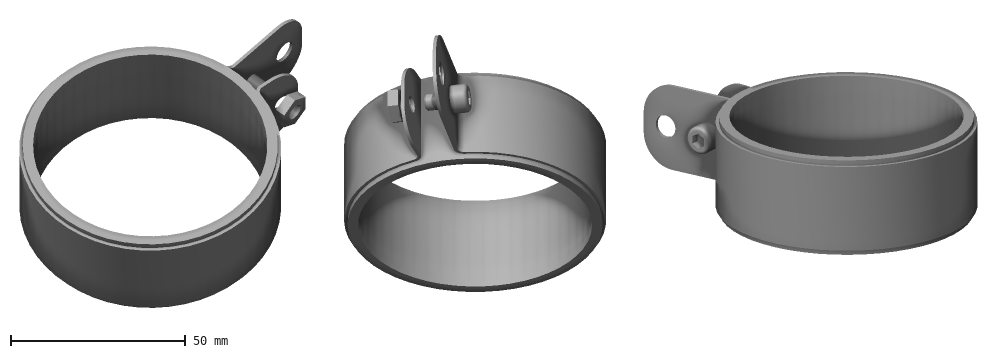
import cadquery as cq
import math

overall_depth = 104.7

liner_bore_radius = 33.5
liner_height = 28.8

strap_radius = 37.5
strap_thickness = 0.99
strap_width = 25.5
bend_radius = 2.0
bend_start_angle = 11.6
tab_tilt = 4.0
short_tab_length = 13.4
tab_corner_radius = 9.9
mount_hole_diameter = 6.7
mount_hole_setback = 7.5

screw_setback = 6.4
shank_diameter = 4.8
shank_length = 7.9
shank_chamfer = 0.5
head_diameter = 8.3
head_height = 4.9
head_fillet = 1.0
socket_across_flats = 4.0
socket_depth = 2.5

nut_across_flats = 9.2
nut_thickness = 3.1
nut_distance = 14.9

liner_radius = strap_radius - strap_thickness
tilt = math.radians(tab_tilt)
start = math.radians(bend_start_angle)
outer_bend_radius = bend_radius + strap_thickness

along_tab = cq.Vector(-math.sin(tilt), math.cos(tilt))
across_tab = cq.Vector(math.cos(tilt), math.sin(tilt))
ring_direction = cq.Vector(-math.sin(start), math.cos(start))
bend_centre = ring_direction * (strap_radius + bend_radius)
tab_root = bend_centre + across_tab * bend_radius

tip_corner_y = overall_depth - strap_radius
long_tab_length = (tip_corner_y - (bend_centre + across_tab * outer_bend_radius).y) / math.cos(tilt)

screw_seat = tab_root + along_tab * screw_setback
mount_hole_seat = tab_root + along_tab * (long_tab_length - mount_hole_setback)


def tab_plane(origin):
    """Plane on the outer face of the long tab: x runs along it, the normal goes through it."""
    return cq.Plane(origin=origin, xDir=along_tab, normal=across_tab)


def hexagon(offset, across_flats):
    """Hexagon outline on the screw axis, with a corner at the top, offset from the screw seat."""
    across_corners = across_flats / math.cos(math.pi / 6)
    upright_plane = cq.Plane(
        origin=screw_seat + across_tab * offset,
        xDir=(0, 0, 1),
        normal=across_tab,
    )
    return cq.Workplane(upright_plane).polygon(6, across_corners)


def ring(outer_radius, inner_radius, height):
    """Ring around Z, centred on the XY plane."""
    return (
        cq.Workplane("XY", origin=(0, 0, -height / 2))
        .circle(outer_radius)
        .circle(inner_radius)
        .extrude(height)
    )


def make_liner():
    return ring(liner_radius, liner_bore_radius, liner_height)


def make_open_ring():
    """Ring of the strap, open at +Y between the two bends."""
    gap_edge = ring_direction * (2 * strap_radius)
    gap = (
        cq.Workplane("XY")
        .polyline([(0, 0), (gap_edge.x, gap_edge.y), (-gap_edge.x, gap_edge.y)])
        .close()
        .extrude(strap_width / 2, both=True)
    )
    return ring(strap_radius, liner_radius, strap_width).cut(gap)


def bend_point(direction, radius):
    """Point at a radius from the bend centre, as (x, y)."""
    point = bend_centre + direction * radius
    return point.x, point.y


def make_bend():
    """Curved strip from the end of the ring to the root of the -X tab."""
    middle_direction = (across_tab - ring_direction).normalized()
    directions = (ring_direction * -1, middle_direction, across_tab)
    inner_start, inner_middle, inner_end = [bend_point(way, bend_radius) for way in directions]
    outer_start, outer_middle, outer_end = [bend_point(way, outer_bend_radius) for way in directions]
    return (
        cq.Workplane("XY")
        .moveTo(*inner_start)
        .threePointArc(inner_middle, inner_end)
        .lineTo(*outer_end)
        .threePointArc(outer_middle, outer_start)
        .close()
        .extrude(strap_width / 2, both=True)
    )


def make_tab(length):
    """Flat -X tab with two rounded corners at its tip."""
    plane = tab_plane(tab_root)
    tab = cq.Workplane(plane).rect(2 * length, strap_width).extrude(strap_thickness)
    tab = tab.edges(cq.selectors.ParallelDirSelector(across_tab)).fillet(tab_corner_radius)
    tip_half = cq.Workplane(plane).center(length / 2, 0).rect(length, strap_width).extrude(strap_thickness)
    return tab.intersect(tip_half)


def make_strap():
    long_end = make_bend().union(make_tab(long_tab_length))
    short_end = make_bend().union(make_tab(short_tab_length)).mirror("YZ")
    strap = make_open_ring().union(long_end).union(short_end)

    mount_hole = (
        cq.Workplane(tab_plane(mount_hole_seat))
        .circle(mount_hole_diameter / 2)
        .extrude(strap_thickness)
    )
    screw_hole = cq.Workplane(tab_plane(screw_seat)).circle(shank_diameter / 2).extrude(nut_distance)
    return strap.cut(mount_hole).cut(screw_hole)


def make_screw():
    """Socket head screw seated on the outer face of the long tab."""
    plane = tab_plane(screw_seat)
    head = cq.Workplane(plane).circle(head_diameter / 2).extrude(-head_height)
    head = head.faces(cq.selectors.DirectionMinMaxSelector(across_tab, False)).edges().fillet(head_fillet)
    shank = cq.Workplane(plane).circle(shank_diameter / 2).extrude(shank_length)
    shank = shank.faces(cq.selectors.DirectionMinMaxSelector(across_tab, True)).chamfer(shank_chamfer)
    socket = hexagon(-head_height, socket_across_flats).extrude(socket_depth)
    return head.union(shank).cut(socket)


def make_nut():
    """Hexagon nut on the axis of the screw, clear of the short tab."""
    return (
        hexagon(nut_distance, nut_across_flats)
        .circle(shank_diameter / 2)
        .extrude(nut_thickness)
    )


liner = make_liner()
strap = make_strap()
screw = make_screw()
nut = make_nut()

result = cq.Compound.makeCompound([liner.val(), strap.val(), screw.val(), nut.val()])